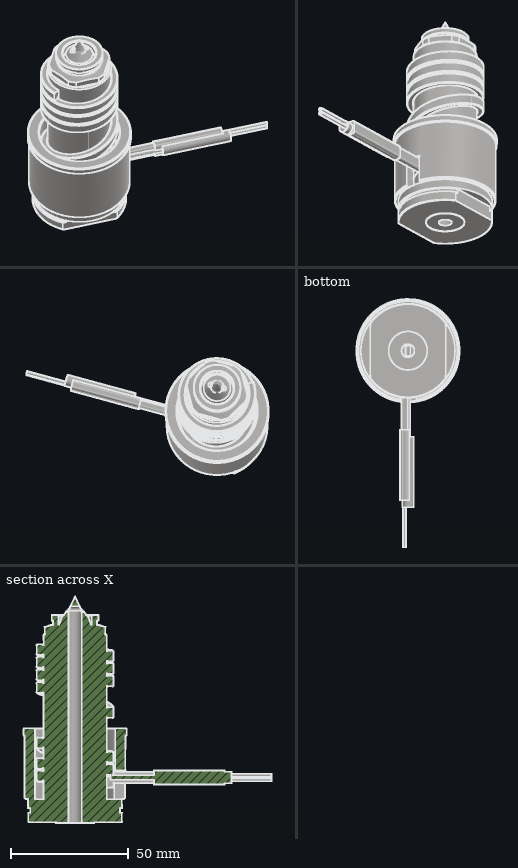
import cadquery as cq
import math


PAD_RADIUS = 8.2
PAD_HEIGHT = 0.25
FLANGE_RADIUS = 20.0
FLANGE_CHAMFER = 0.25
FLANGE_TOP = 4.45
FOOT_GROOVE_RADIUS = 19.1
FOOT_GROOVE_TOP = 6.35
FLAT_DISTANCE = 16.0

HOUSING_BOTTOM = 10.15
HOUSING_RADIUS = 21.5
HOUSING_BOTTOM_CHAMFER = 0.5
COLLAR_RADIUS = 22.0
COLLAR_BOTTOM = 37.0
COLLAR_TOP = 40.35
COLLAR_CHAMFER = 0.45
WELL_RADIUS = 17.0
WELL_MOUTH_CHAMFER = 0.4
SLOT_WIDTH = 7.0
SLOT_TOP = 22.4

SHAFT_RADIUS = 13.5
SHAFT_TOP = 80.4
SHAFT_CHAMFER = 0.7
HEX_ACROSS_FLATS = 24.0
HEX_CORNER_RADIUS = 13.0
HEX_CORNER_TOP = 83.3
HEX_TOP = 84.2
NECK_RADIUS = 9.4
HEAD_RADIUS = 10.0
HEAD_BOTTOM = 85.9
HEAD_TOP = 88.35
HEAD_CHAMFER = 0.2
RECESS_RADIUS = 7.0
RECESS_FLOOR = HEAD_TOP - 4.1
RECESS_CHAMFER = 0.4

TIP_ROOT_RADIUS = 6.9
TIP_SHOULDER_RADIUS = 5.7
TIP_SHOULDER_Z = 87.6
NEEDLE_RADIUS = 2.46
NEEDLE_BOTTOM = 91.3
TOTAL_HEIGHT = 96.3

BORE_RADIUS = 2.75
BORE_TOP = 90.2
OUTLET_RADIUS = 1.1
OUTLET_Z = 90.75

COIL_OUTER_RADIUS = 16.4
COIL_EMBED = 0.05
COIL_HEIGHT = 4.7
COIL_CORNER = 0.4
CLOSE_PITCH = 5.33
STEEP_PITCH = 25.7
COIL_END_ANGLE = 303.5
COIL_END_Z = 74.1
UPPER_BEND_ANGLE = 290.8 - 3 * 360
BEND_SPAN = 117.8
STEEP_SPAN = 264.0
LOWER_TAIL_ANGLE = 90 - 6 * 360
COIL_DEGREES_PER_POINT = 6.0

CABLE_Z = 19.35
LEAD_THICKNESS = 2.9
LEAD_HEIGHT = 5.0
LEAD_START = (SHAFT_RADIUS + COIL_OUTER_RADIUS) / 2
LEAD_X = -LEAD_THICKNESS / 2
SLEEVE_WALL = 0.55
SLEEVE_CORNER = 1.0
SLEEVE_START = 33.5
SLEEVE_LENGTH = 30.0
CABLE_START = 36.5
CABLE_LENGTH = 30.0
CABLE_RADIUS = 2.5
CORE_RADIUS = 1.05
WIRE_X = -1.45
WIRE_RADIUS = 0.72
WIRE_SPACING = 1.95
WIRE_END = 83.5
WIRE_EMBED = 1.0


def cylinder(radius, bottom, top):
    return cq.Workplane("XY").workplane(offset=bottom).circle(radius).extrude(top - bottom)


def turned(profile):
    """Revolve a closed (radius, Z) outline about the Z axis."""
    return cq.Workplane("XZ").polyline(profile).close().revolve(360, (0, 0, 0), (0, 1, 0))


def chamfered_bore(radius, bottom, top, chamfer):
    """Solid to cut: a round hole whose upper mouth is chamfered."""
    return turned([
        (0, bottom),
        (radius, bottom),
        (radius, top - chamfer),
        (radius + chamfer, top),
        (0, top),
    ])


def rod_along_y(radius, x, z, start, end):
    return cq.Workplane("XZ", origin=(x, start, z)).circle(radius).extrude(start - end)


def bar_along_y(width, height, corner, x, z, start, end):
    bar = cq.Workplane("XZ", origin=(x, start, z)).rect(width, height).extrude(start - end)
    return bar.edges("|Y").fillet(corner)


def make_foot():
    flange = cylinder(FLANGE_RADIUS, PAD_HEIGHT, FLANGE_TOP).faces("<Z").chamfer(FLANGE_CHAMFER)
    groove = cylinder(FOOT_GROOVE_RADIUS, FLANGE_TOP, FOOT_GROOVE_TOP)
    flats = cq.Workplane("XY").rect(2 * FLAT_DISTANCE, 3 * FLANGE_RADIUS).extrude(FOOT_GROOVE_TOP)
    pad = cylinder(PAD_RADIUS, 0, PAD_HEIGHT)
    base_ring = cylinder(FLANGE_RADIUS, FOOT_GROOVE_TOP, HOUSING_BOTTOM)
    return flange.union(groove).intersect(flats).union(pad).union(base_ring)


def make_housing():
    barrel = cylinder(HOUSING_RADIUS, HOUSING_BOTTOM, COLLAR_TOP).faces("<Z").chamfer(HOUSING_BOTTOM_CHAMFER)
    collar = cylinder(COLLAR_RADIUS, COLLAR_BOTTOM, COLLAR_TOP).edges().chamfer(COLLAR_CHAMFER)
    well = chamfered_bore(WELL_RADIUS, HOUSING_BOTTOM, COLLAR_TOP, WELL_MOUTH_CHAMFER)
    slot = (
        cq.Workplane("XY", origin=(0, 0, HOUSING_BOTTOM))
        .box(SLOT_WIDTH, COLLAR_RADIUS, SLOT_TOP - HOUSING_BOTTOM, centered=(True, False, False))
    )
    return barrel.union(collar).cut(well).cut(slot)


def make_hexagon():
    across_corners = HEX_ACROSS_FLATS / math.cos(math.radians(30))
    prism = (
        cq.Workplane("XY", origin=(0, 0, SHAFT_TOP))
        .transformed(rotate=(0, 0, 30))
        .polygon(6, across_corners)
        .extrude(HEX_TOP - SHAFT_TOP)
    )
    blank = turned([
        (0, SHAFT_TOP),
        (HEX_CORNER_RADIUS, SHAFT_TOP),
        (HEX_CORNER_RADIUS, HEX_CORNER_TOP),
        (HEAD_RADIUS, HEX_TOP),
        (0, HEX_TOP),
    ])
    return prism.intersect(blank)


def make_tip():
    return turned([
        (0, RECESS_FLOOR),
        (TIP_ROOT_RADIUS, RECESS_FLOOR),
        (TIP_SHOULDER_RADIUS, TIP_SHOULDER_Z),
        (NEEDLE_RADIUS, NEEDLE_BOTTOM),
        (0, TOTAL_HEIGHT),
    ])


def make_nozzle():
    shaft = cylinder(SHAFT_RADIUS, HOUSING_BOTTOM, SHAFT_TOP).faces(">Z").chamfer(SHAFT_CHAMFER)
    neck = cylinder(NECK_RADIUS, HEX_TOP, HEAD_BOTTOM)
    head = cylinder(HEAD_RADIUS, HEAD_BOTTOM, HEAD_TOP).edges().chamfer(HEAD_CHAMFER)
    recess = chamfered_bore(RECESS_RADIUS, RECESS_FLOOR, HEAD_TOP, RECESS_CHAMFER)
    top = neck.union(head).cut(recess)
    return shaft.union(make_hexagon()).union(top).union(make_tip())


def cut_melt_channel(body):
    bore = cylinder(BORE_RADIUS, 0, BORE_TOP)
    outlets = rod_along_y(OUTLET_RADIUS, 0, OUTLET_Z, -TIP_SHOULDER_RADIUS, TIP_SHOULDER_RADIUS)
    return body.cut(bore).cut(outlets)


def coil_section():
    """Corners of the coil section as (radius, height above the coil centre line)."""
    inner = SHAFT_RADIUS - COIL_EMBED
    outer = COIL_OUTER_RADIUS
    half = COIL_HEIGHT / 2
    return [
        (inner, half - COIL_CORNER),
        (inner + COIL_CORNER, half),
        (outer - COIL_CORNER, half),
        (outer, half - COIL_CORNER),
        (outer, COIL_CORNER - half),
        (outer - COIL_CORNER, -half),
        (inner + COIL_CORNER, -half),
        (inner, COIL_CORNER - half),
    ]


def coil_edge(radius, offset, stretch, start_z):
    """Curve followed by one section corner; the pitch changes evenly with angle."""
    start_angle, end_angle, start_pitch, end_pitch = stretch
    span = start_angle - end_angle
    steps = math.ceil(span / COIL_DEGREES_PER_POINT)
    points = []
    for step in range(steps + 1):
        share = step / steps
        angle = math.radians(start_angle - span * share)
        z = start_z + offset - drop_along(stretch, share)
        points.append(cq.Vector(radius * math.cos(angle), radius * math.sin(angle), z))
    return cq.Edge.makeSpline(points)


def drop_along(stretch, share):
    """Height lost over the given share of a stretch."""
    start_angle, end_angle, start_pitch, end_pitch = stretch
    mean_pitch = start_pitch + (end_pitch - start_pitch) * share / 2
    return mean_pitch * (start_angle - end_angle) * share / 360


def coil_end_face(angle, z):
    direction = math.radians(angle)
    corners = [
        cq.Vector(radius * math.cos(direction), radius * math.sin(direction), z + offset)
        for radius, offset in coil_section()
    ]
    return cq.Face.makeFromWires(cq.Wire.makePolygon(corners, close=True))


def make_coil():
    upper_bend_end = UPPER_BEND_ANGLE - BEND_SPAN
    lower_bend_angle = upper_bend_end - STEEP_SPAN
    lower_bend_end = lower_bend_angle - BEND_SPAN
    stretches = [
        (COIL_END_ANGLE, UPPER_BEND_ANGLE, CLOSE_PITCH, CLOSE_PITCH),
        (UPPER_BEND_ANGLE, upper_bend_end, CLOSE_PITCH, STEEP_PITCH),
        (upper_bend_end, lower_bend_angle, STEEP_PITCH, STEEP_PITCH),
        (lower_bend_angle, lower_bend_end, STEEP_PITCH, CLOSE_PITCH),
        (lower_bend_end, LOWER_TAIL_ANGLE, CLOSE_PITCH, CLOSE_PITCH),
    ]
    z = COIL_END_Z
    faces = [coil_end_face(COIL_END_ANGLE, z)]
    for stretch in stretches:
        edges = [coil_edge(radius, offset, stretch, z) for radius, offset in coil_section()]
        for index, edge in enumerate(edges):
            faces.append(cq.Face.makeRuledSurface(edges[index - 1], edge))
        z -= drop_along(stretch, 1)
    faces.append(coil_end_face(LOWER_TAIL_ANGLE, z))
    return cq.Workplane(cq.Solid.makeSolid(cq.Shell.makeShell(faces)))


def make_cable():
    sleeve_end = SLEEVE_START + SLEEVE_LENGTH
    sleeve_width = LEAD_THICKNESS + 2 * SLEEVE_WALL
    sleeve_height = LEAD_HEIGHT + 2 * SLEEVE_WALL
    lead = bar_along_y(LEAD_THICKNESS, LEAD_HEIGHT, COIL_CORNER, LEAD_X, CABLE_Z, LEAD_START, sleeve_end)
    sleeve = bar_along_y(sleeve_width, sleeve_height, SLEEVE_CORNER, LEAD_X, CABLE_Z, SLEEVE_START, sleeve_end)
    cable_end = CABLE_START + CABLE_LENGTH
    sheath = rod_along_y(CABLE_RADIUS, 0, CABLE_Z, CABLE_START, cable_end)
    core = rod_along_y(CORE_RADIUS, 0, CABLE_Z, LEAD_START, cable_end)
    cable = lead.union(sleeve).union(sheath).union(core)
    for side in (-1, 1):
        wire_z = CABLE_Z + side * WIRE_SPACING / 2
        cable = cable.union(rod_along_y(WIRE_RADIUS, WIRE_X, wire_z, cable_end - WIRE_EMBED, WIRE_END))
    return cable


body = make_foot().union(make_housing()).union(make_nozzle()).union(make_coil()).union(make_cable())
result = cut_melt_channel(body)